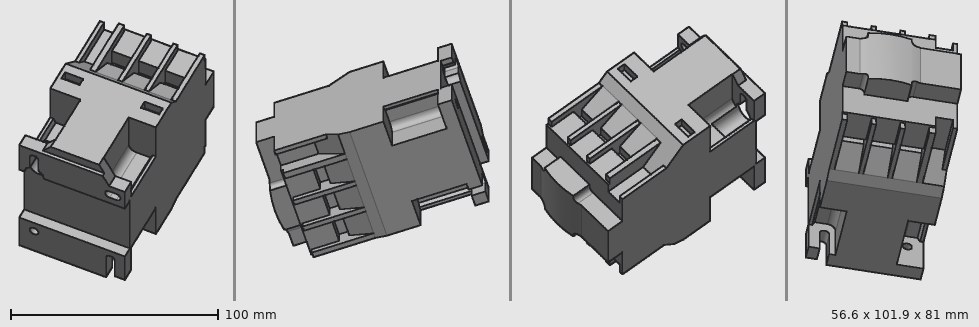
import cadquery as cq
import math

WIDTH = 56.6
HEIGHT = 81.0
DEPTH = 101.89
CASE_FRONT_Y = 90.5
SHOULDER_Y = 52.0

PLATE_THICKNESS = 7.0
PLATE_STEP = 5.6
UPPER_PLATE_BOTTOM_Z = 57.4
UPPER_PLATE_TOP_Z = 76.0
LOWER_PLATE_TOP_Z = 21.1
CREST_BACK_Y = 1.9
CREST_FOOT_X = 11.8
CREST_LEFT_X = 16.0
CREST_RIGHT_X = 41.9
PLATE_NOTCH_X = 48.1
PLATE_NOTCH_Z = 70.1

HOLE_X = 8.0
HOLE_RADIUS = 2.3
KEYHOLE_RADIUS = 5.15
KEYHOLE_Z = 57.2
KEYHOLE_TOP_Z = 72.1
KEYHOLE_DEPTH = 22.7
OBLONG_X = 50.1
OBLONG_Z = 63.9
OBLONG_LENGTH = 8.2
LOWER_HOLE_Z = 14.9
OPEN_SLOT_X = 48.8
FOOT_RELIEF_Z = 3.2

POCKET_END_Y = 34.8
POCKET_FILLET = 4.1
RIM_WIDTH = 1.7
RIM_SLOPE = 1.3
RIM_HEIGHT = 2.45
UPPER_FLOOR_Z = 56.55
LOWER_FLOOR_Z = 22.5
LEFT_POCKET_WIDTH = 16.2
RIGHT_POCKET_WIDTH = 14.6
LOWER_POCKET_WIDTH = 13.2

RECESS_LENGTH = 9.7
RECESS_WIDTH = 4.2
RECESS_DEPTH = 5.0
RECESS_Y = 44.9
RECESS_SIDE = 2.15

RIB_SPANS = [(10.6, 13.6), (25.6, 27.9), (39.8, 42.1), (54.0, WIDTH)]
RIB_FRONT_Y = 89.4
PIT_START_Y = 70.3
PIT_END_Y = 75.5
NOTCH_LEFT_X = 2.2

UPPER_BANK = dict(
    slope=((SHOULDER_Y, HEIGHT), (62.6, 71.2)),
    rib_z=76.2,
    block_z=71.9,
    ramp_start_z=76.4,
    ramp_end_z=68.6,
    pit_z=63.0,
    notch_z=65.9,
)
LOWER_BANK = dict(
    slope=((57.9, 1.85), (64.0, 6.9)),
    rib_z=1.85,
    block_z=6.2,
    ramp_start_z=1.85,
    ramp_end_z=9.2,
    pit_z=15.0,
    notch_z=13.0,
)

NOSE_BASE_Y = 99.65
NOSE_ARC_X = 35.0
NOSE_ARC_HALF_WIDTH = 14.9
NOSE_LOW_Z = (25.75, 52.5)
NOSE_HIGH_Z = (21.9, 56.5)
NOSE_HIGH_X = (24.5, 46.0)
NOSE_FILLET = 2.5


def box(x_span, y_span, z_span):
    size = [span[1] - span[0] for span in (x_span, y_span, z_span)]
    return cq.Workplane("XY").box(*size, centered=False).translate((x_span[0], y_span[0], z_span[0]))


def along_x(points, x_start, x_end):
    """Extrude a (Y, Z) outline along X."""
    return cq.Workplane("YZ").workplane(offset=x_start).polyline(points).close().extrude(x_end - x_start)


def along_y(outline, y_start, y_end):
    """Extrude an outline drawn in (X, Z) along Y."""
    return outline.extrude(-(y_end - y_start)).translate((0, y_start, 0))


def make_case():
    upper_start, upper_end = UPPER_BANK["slope"]
    lower_start, lower_end = LOWER_BANK["slope"]
    outline = [
        (0, 0), (0, LOWER_PLATE_TOP_Z),
        (PLATE_STEP, LOWER_PLATE_TOP_Z), (PLATE_STEP, UPPER_PLATE_BOTTOM_Z),
        (0, UPPER_PLATE_BOTTOM_Z), (0, UPPER_PLATE_TOP_Z),
        (CREST_BACK_Y, UPPER_PLATE_TOP_Z), (CREST_BACK_Y, HEIGHT),
        upper_start, upper_end,
        (CASE_FRONT_Y, upper_end[1]), (CASE_FRONT_Y, lower_end[1]),
        lower_end, lower_start, (SHOULDER_Y, 0),
    ]
    return along_x(outline, 0, WIDTH)


def shape_upper_plate(body):
    left = [(0, UPPER_PLATE_TOP_Z), (CREST_FOOT_X, UPPER_PLATE_TOP_Z), (CREST_LEFT_X, HEIGHT), (0, HEIGHT)]
    right = [(CREST_RIGHT_X, HEIGHT), (PLATE_NOTCH_X, PLATE_NOTCH_Z), (WIDTH, PLATE_NOTCH_Z), (WIDTH, HEIGHT)]
    for corner in (left, right):
        body = body.cut(along_y(cq.Workplane("XZ").polyline(corner).close(), 0, PLATE_THICKNESS))
    return body


def make_pocket(width, floor_z, on_right, at_bottom):
    """Corner pocket with a low side rim and a rounded foot on its inner wall."""
    side = WIDTH if on_right else 0
    inward = -1 if on_right else 1
    outward_z = -1 if at_bottom else 1
    open_z = 0 if at_bottom else HEIGHT
    rim_z = floor_z + outward_z * RIM_HEIGHT
    wall_x = side + inward * width
    fillet_center = (wall_x - inward * POCKET_FILLET, floor_z + outward_z * POCKET_FILLET)
    bend = POCKET_FILLET * math.sqrt(0.5)
    outline = (
        cq.Workplane("XZ")
        .moveTo(side, open_z)
        .lineTo(side, rim_z)
        .lineTo(side + inward * RIM_WIDTH, rim_z)
        .lineTo(side + inward * (RIM_WIDTH + RIM_SLOPE), floor_z)
        .lineTo(fillet_center[0], floor_z)
        .threePointArc(
            (fillet_center[0] + inward * bend, fillet_center[1] - outward_z * bend),
            (wall_x, fillet_center[1]),
        )
        .lineTo(wall_x, open_z)
        .close()
    )
    return along_y(outline, PLATE_THICKNESS, POCKET_END_Y)


def cut_pockets(body):
    body = body.cut(make_pocket(LEFT_POCKET_WIDTH, UPPER_FLOOR_Z, False, False))
    body = body.cut(make_pocket(RIGHT_POCKET_WIDTH, UPPER_FLOOR_Z, True, False))
    for on_right in (False, True):
        body = body.cut(make_pocket(LOWER_POCKET_WIDTH, LOWER_FLOOR_Z, on_right, True))
    return body


def round_hole(x, z, radius, depth):
    return along_y(cq.Workplane("XZ").center(x, z).circle(radius), 0, depth)


def cut_mounting_holes(body):
    neck_x = (HOLE_X - HOLE_RADIUS, HOLE_X + HOLE_RADIUS)
    neck_top_z = KEYHOLE_TOP_Z - HOLE_RADIUS
    plate_y = (0, PLATE_THICKNESS)
    body = body.cut(round_hole(HOLE_X, KEYHOLE_Z, KEYHOLE_RADIUS, KEYHOLE_DEPTH))
    body = body.cut(box(neck_x, plate_y, (KEYHOLE_Z, neck_top_z)))
    body = body.cut(round_hole(HOLE_X, neck_top_z, HOLE_RADIUS, PLATE_THICKNESS))

    oblong = cq.Workplane("XZ").center(OBLONG_X, OBLONG_Z).slot2D(OBLONG_LENGTH, 2 * HOLE_RADIUS)
    body = body.cut(along_y(oblong, *plate_y))

    body = body.cut(round_hole(HOLE_X, LOWER_HOLE_Z, HOLE_RADIUS, PLATE_THICKNESS))
    slot_x = (OPEN_SLOT_X - HOLE_RADIUS, OPEN_SLOT_X + HOLE_RADIUS)
    body = body.cut(round_hole(OPEN_SLOT_X, LOWER_HOLE_Z, HOLE_RADIUS, PLATE_THICKNESS))
    body = body.cut(box(slot_x, plate_y, (0, LOWER_HOLE_Z)))
    return body.cut(box((slot_x[1], WIDTH), plate_y, (0, FOOT_RELIEF_Z)))


def cut_top_recesses(body):
    for x in (RECESS_SIDE, WIDTH - RECESS_SIDE - RECESS_LENGTH):
        y = RECESS_Y - RECESS_WIDTH / 2
        recess = box((x, x + RECESS_LENGTH), (y, y + RECESS_WIDTH), (HEIGHT - RECESS_DEPTH, HEIGHT))
        body = body.cut(recess)
    return body


def slope_point(slope, z):
    """Point at height z on the straight line through the two slope points."""
    (y0, z0), (y1, z1) = slope
    return (y0 + (z - z0) * (y1 - y0) / (z1 - z0), z)


def add_terminal_bank(body, slope, rib_z, block_z, ramp_start_z, ramp_end_z, pit_z, notch_z):
    """Terminal bank: a ramp, pit and raised block between each pair of ribs, and a notch beside them."""
    rib_start = slope_point(slope, rib_z)
    ramp_start = slope_point(slope, ramp_start_z)
    bank_x = (RIB_SPANS[0][0], RIB_SPANS[-1][1])

    body = body.union(box(bank_x, (PIT_END_Y, CASE_FRONT_Y), sorted((pit_z, block_z))))
    ramp_block_z = sorted((pit_z, ramp_start_z))
    well = [
        ramp_start, (PIT_START_Y, ramp_end_z), (PIT_START_Y, pit_z),
        (PIT_END_Y, pit_z), (PIT_END_Y, ramp_start_z),
    ]
    for left_rib, right_rib in zip(RIB_SPANS, RIB_SPANS[1:]):
        cell_x = (left_rib[1], right_rib[0])
        body = body.union(box(cell_x, (ramp_start[0], PIT_START_Y), ramp_block_z))
        body = body.cut(along_x(well, *cell_x))

    for rib_x in RIB_SPANS:
        body = body.union(box(rib_x, (rib_start[0], RIB_FRONT_Y), sorted((pit_z, rib_z))))

    notch = [rib_start, slope_point(slope, notch_z), (CASE_FRONT_Y, notch_z), (CASE_FRONT_Y, rib_z)]
    return body.cut(along_x(notch, NOTCH_LEFT_X, bank_x[0]))


def make_nose():
    """Full-width nose with a bowed front and a taller centre blended into it by hollow fillets."""
    arc_left = NOSE_ARC_X - NOSE_ARC_HALF_WIDTH
    arc_right = NOSE_ARC_X + NOSE_ARC_HALF_WIDTH
    plan = (
        cq.Workplane("XY")
        .moveTo(0, CASE_FRONT_Y)
        .lineTo(0, NOSE_BASE_Y)
        .lineTo(arc_left, NOSE_BASE_Y)
        .threePointArc((NOSE_ARC_X, DEPTH), (arc_right, NOSE_BASE_Y))
        .lineTo(WIDTH, NOSE_BASE_Y)
        .lineTo(WIDTH, CASE_FRONT_Y)
        .close()
        .extrude(HEIGHT)
    )
    y_span = (CASE_FRONT_Y, DEPTH)
    section = box((0, WIDTH), y_span, NOSE_LOW_Z).union(box(NOSE_HIGH_X, y_span, NOSE_HIGH_Z))
    for wall_x, away in zip(NOSE_HIGH_X, (-1, 1)):
        for step_z, outward in zip(NOSE_LOW_Z, (-1, 1)):
            center_x = wall_x + away * NOSE_FILLET
            center_z = step_z + outward * NOSE_FILLET
            square = box(sorted((wall_x, center_x)), y_span, sorted((step_z, center_z)))
            hollow = along_y(cq.Workplane("XZ").center(center_x, center_z).circle(NOSE_FILLET), *y_span)
            section = section.union(square.cut(hollow))
    return plan.intersect(section)


body = make_case()
body = shape_upper_plate(body)
body = cut_pockets(body)
body = cut_mounting_holes(body)
body = cut_top_recesses(body)
for bank in (UPPER_BANK, LOWER_BANK):
    body = add_terminal_bank(body, **bank)
result = body.union(make_nose())